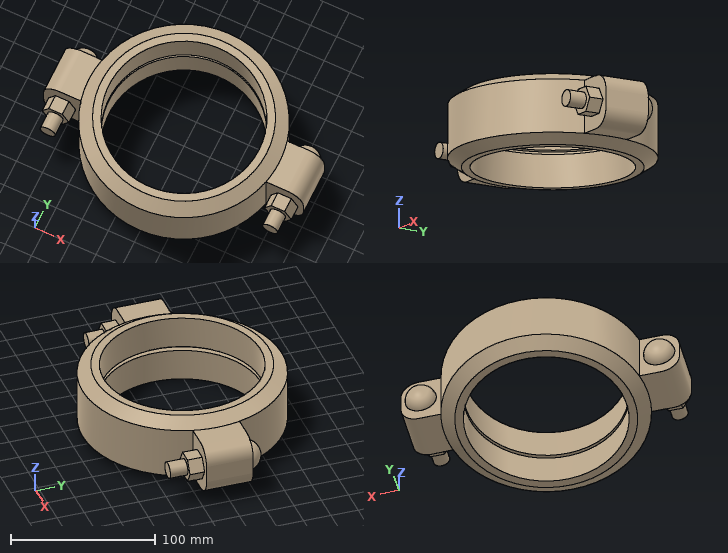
import cadquery as cq

ring_outer_radius = 73.05
ring_face_radius = 63.4
ring_bore_radius = 57.5
ring_height = 50.8
band_height = 38.0

groove_width = 3.0
groove_depth = 5.0

overall_length = 199.3
lug_depth = 34.3
lug_corner_radius = 12.8

bolt_offset = 85.3
bolt_diameter = 11.8
bolt_tip_length = 12.8
nut_across_corners = 20.7
nut_thickness = 10.8
head_radius = 11.2
head_height = 10.2


def make_ring_blank():
    """Solid disc with a cylindrical band and a conical bevel above and below it."""
    half_height = ring_height / 2
    half_band = band_height / 2
    profile = [
        (0, -half_height),
        (ring_face_radius, -half_height),
        (ring_outer_radius, -half_band),
        (ring_outer_radius, half_band),
        (ring_face_radius, half_height),
        (0, half_height),
    ]
    return cq.Workplane("XZ").polyline(profile).close().revolve(360, (0, 0), (0, 1))


def make_lug_bar():
    """Bar across the disc whose rounded ends form both lugs."""
    bar = cq.Workplane("XY").box(overall_length, lug_depth, band_height)
    return bar.edges("|Y").fillet(lug_corner_radius)


def make_bolt_ends(x):
    """Nut and bolt tip on the -Y side of a lug, domed head on the +Y side."""
    lug_front = cq.Workplane("XZ", origin=(x, -lug_depth / 2, 0))
    nut = lug_front.polygon(6, nut_across_corners).extrude(nut_thickness)
    tip = lug_front.circle(bolt_diameter / 2).extrude(nut_thickness + bolt_tip_length)
    head_centre_y = lug_depth / 2 + head_height - head_radius
    head = cq.Workplane("XY").sphere(head_radius).translate((x, head_centre_y, 0))
    return nut.union(tip).union(head)


def make_bore():
    """Through bore together with its internal groove."""
    bore = cq.Workplane("XY").circle(ring_bore_radius).extrude(ring_height / 2, both=True)
    groove_radius = ring_bore_radius + groove_depth
    groove = cq.Workplane("XY").circle(groove_radius).extrude(groove_width / 2, both=True)
    return bore.union(groove)


body = make_ring_blank().union(make_lug_bar()).cut(make_bore())
for side in (-1, 1):
    body = body.union(make_bolt_ends(side * bolt_offset))

result = body